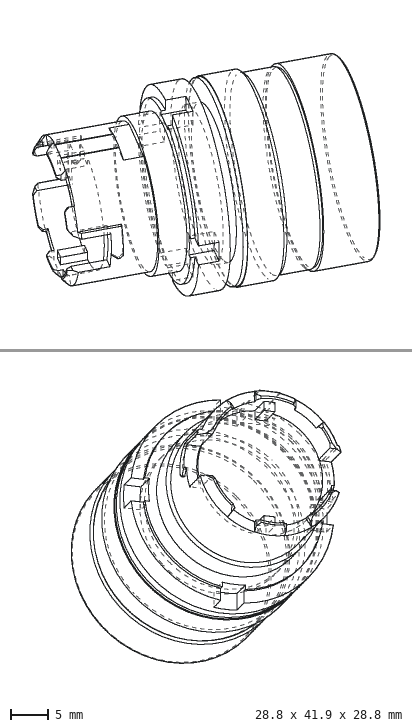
import cadquery as cq
import math

LENGTH = 41.9

SHANK_DIAMETER = 20.55
BORE_DIAMETER = 17.65
BODY_DIAMETER = 21.85
STEP_DIAMETER = 25.35
FLANGE_DIAMETER = 28.8
LIP_DIAMETER = 28.5
GROOVE_DIAMETER = 27.6
CAP_DIAMETER = 28.3

SHANK_END = 12.03
STEP_START = 15.92
FLANGE_START = 16.55
FLANGE_END = 20.95
LIP_START = 22.8
COLLAR_START = 23.4
COLLAR_END = 28.4
GROOVE_END = 33.6
CAP_START = 34.02

COLLAR_BEVEL = (FLANGE_DIAMETER - GROOVE_DIAMETER) / 2
GROOVE_BEVEL = 0.15
CAP_CHAMFER = 0.2

TIP_BEVEL = 1.15
TOOTH_HEIGHT = 1.2
TOOTH_SIDE_BEVEL = 0.55
BORE_DEPTH = 5.03
NOTCH_HALF_WIDTH = 2.97
NOTCH_DEPTH = 5.55
GAP_INNER_RADIUS = 6.3
GAP_OUTER_RADIUS = 13.4
TOOTH_EDGE = 2.15
WIDE_TOOTH_EDGE = 3.5
CROWN_GAPS = [
    (-TOOTH_EDGE, -36.5),
    (WIDE_TOOTH_EDGE, 48.5),
    (-TOOTH_EDGE, -144.5),
    (TOOTH_EDGE, 144.5),
]

LUG_HEIGHT = 0.38
LUG_TOP = 3.77
LUG_BOTTOM = -1.2
LUG_END = 7.15
LUG_NOSE = 6.4
LUG_END_BEVEL = 0.45

KEY_WIDTH = 1.55
KEY_RADIUS = 7.5
KEY_START = 1.25

SLOT_COUNT = 4
SLOT_WIDTH = 3.25
SLOT_FLOOR_DIAMETER = 24.1
SLOT_END = 19.4

RELIEF_HALF_WIDTH = 3.5
RELIEF_HEIGHT = 9.65
RELIEF_START = 9.2
STRIP_HALF_WIDTH = 1.45

SHANK_RADIUS = SHANK_DIAMETER / 2


def revolve_profile(points):
    """Turn a closed (radius, Y) outline about the Y axis."""
    return cq.Workplane("XY").polyline(points).close().revolve(360, (0, 0, 0), (0, 1, 0))


def cylinder(diameter, start, end):
    return revolve_profile([(0, start), (diameter / 2, start), (diameter / 2, end), (0, end)])


def block(x_range, y_range, z_range):
    """Box between the given limits on each axis."""
    sizes = [high - low for low, high in (x_range, y_range, z_range)]
    corner = (x_range[0], y_range[0], z_range[0])
    return cq.Workplane("XY").box(*sizes, centered=False).translate(corner)


def bevelled_blank(radius):
    """Solid shank blank with the 45 degree cone at its tip."""
    tip_radius = SHANK_RADIUS - TIP_BEVEL
    return revolve_profile([
        (0, 0),
        (tip_radius, 0),
        (radius, radius - tip_radius),
        (radius, SHANK_END),
        (0, SHANK_END),
    ])


def turned_body():
    """Everything behind the shank, from the body to the cap."""
    body = BODY_DIAMETER / 2
    step = STEP_DIAMETER / 2
    flange = FLANGE_DIAMETER / 2
    lip = LIP_DIAMETER / 2
    groove = GROOVE_DIAMETER / 2
    cap = CAP_DIAMETER / 2
    return revolve_profile([
        (0, SHANK_END),
        (body, SHANK_END),
        (body, STEP_START),
        (step, STEP_START),
        (step, FLANGE_START),
        (flange, FLANGE_START),
        (flange, FLANGE_END),
        (body, FLANGE_END),
        (body, LIP_START),
        (lip, LIP_START),
        (lip, COLLAR_START),
        (flange, COLLAR_START),
        (flange, COLLAR_END),
        (groove, COLLAR_END + COLLAR_BEVEL),
        (groove, GROOVE_END),
        (groove - GROOVE_BEVEL, CAP_START),
        (cap, CAP_START),
        (cap, LENGTH - CAP_CHAMFER),
        (cap - CAP_CHAMFER, LENGTH),
        (0, LENGTH),
    ])


def flange_slots():
    """Square-sided slots spread round the flange, open at its front."""
    reach = FLANGE_DIAMETER
    slot = block((-SLOT_WIDTH / 2, SLOT_WIDTH / 2), (STEP_START, SLOT_END), (0, reach))
    slots = cq.Workplane("XY")
    for index in range(SLOT_COUNT):
        slots = slots.add(slot.rotate((0, 0, 0), (0, 1, 0), index * 360 / SLOT_COUNT))
    return slots.combine().cut(cylinder(SLOT_FLOOR_DIAMETER, STEP_START, SLOT_END))


def lugs():
    """Raised L on each side: a leg from the tip along the notch, then a hook behind it."""
    outline = [
        (0, NOTCH_HALF_WIDTH),
        (0, LUG_TOP),
        (LUG_END, LUG_TOP),
        (LUG_END, LUG_BOTTOM + LUG_END_BEVEL),
        (LUG_END - LUG_END_BEVEL, LUG_BOTTOM),
        (LUG_NOSE, LUG_BOTTOM),
        (NOTCH_DEPTH, LUG_BOTTOM + LUG_NOSE - NOTCH_DEPTH),
        (NOTCH_DEPTH, NOTCH_HALF_WIDTH),
    ]
    prism = cq.Workplane("YZ").polyline(outline).close().extrude(FLANGE_DIAMETER / 2, both=True)
    return bevelled_blank(SHANK_RADIUS + LUG_HEIGHT).intersect(prism)


def tooth_gap(outline, depth):
    """Cutter of the given (X, Z) outline, flaring at 45 degrees at the tip."""
    straight = cq.Workplane("XZ").polyline(outline).close().extrude(-depth)
    flare = (
        cq.Workplane("XZ", origin=(0, TOOTH_SIDE_BEVEL, 0))
        .polyline(outline).close()
        .extrude(TOOTH_SIDE_BEVEL, taper=-45)
    )
    return straight.union(flare)


def crown_gap(wall_x, angle):
    """Gap between an upright tooth wall and a radial tooth wall."""
    across = math.sin(math.radians(angle))
    up = math.cos(math.radians(angle))
    side = math.copysign(1, up)
    outline = [
        (wall_x, side * GAP_INNER_RADIUS),
        (wall_x, side * GAP_OUTER_RADIUS),
        (GAP_OUTER_RADIUS * across, GAP_OUTER_RADIUS * up),
        (GAP_INNER_RADIUS * across, GAP_INNER_RADIUS * up),
    ]
    return tooth_gap(outline, TOOTH_HEIGHT)


def side_notches():
    """Deep notches through both side walls, leaving the bore floor standing between them."""
    half = NOTCH_HALF_WIDTH
    outline = [
        (-GAP_OUTER_RADIUS, -half),
        (GAP_OUTER_RADIUS, -half),
        (GAP_OUTER_RADIUS, half),
        (-GAP_OUTER_RADIUS, half),
    ]
    return tooth_gap(outline, NOTCH_DEPTH).cut(cylinder(BORE_DIAMETER, BORE_DEPTH, NOTCH_DEPTH))


def top_relief():
    """Flat cut into the top of the shank next to the body."""
    return block(
        (-RELIEF_HALF_WIDTH, RELIEF_HALF_WIDTH),
        (RELIEF_START, SHANK_END),
        (RELIEF_HEIGHT, SHANK_DIAMETER),
    )


def top_strip():
    """Flat-topped strip from the cone to the relief, level with the crest of the shank."""
    return block(
        (-STRIP_HALF_WIDTH, STRIP_HALF_WIDTH),
        (TIP_BEVEL, RELIEF_START),
        (RELIEF_HEIGHT, SHANK_RADIUS),
    )


def bore_keys():
    """Straight keys at the top and bottom of the bore, standing on its floor."""
    wall_radius = (BORE_DIAMETER + SHANK_DIAMETER) / 4
    half = KEY_WIDTH / 2
    key = block((-half, half), (KEY_START, BORE_DEPTH), (KEY_RADIUS, wall_radius))
    return key.union(key.mirror("XY"))


shank = bevelled_blank(SHANK_RADIUS).union(lugs())
shank = shank.cut(cylinder(BORE_DIAMETER, 0, BORE_DEPTH))
for gap_wall, gap_angle in CROWN_GAPS:
    shank = shank.cut(crown_gap(gap_wall, gap_angle))
shank = shank.cut(side_notches())
shank = shank.cut(top_relief()).union(top_strip())

result = turned_body().cut(flange_slots()).union(shank).union(bore_keys())